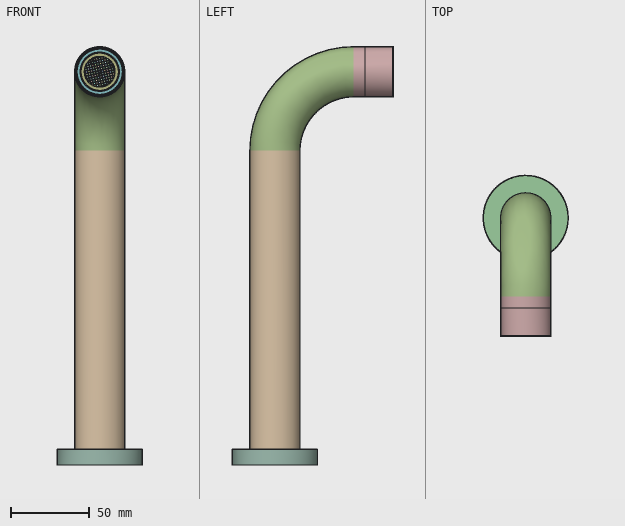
import cadquery as cq
import math

flange_diameter = 54.0
flange_thickness = 10.0
flange_chamfer = 0.3

aerator_diameter = 31.3
aerator_length = 18.0
aerator_chamfer = 0.5

total_height = 265.0
tube_wall = 0.32
bend_radius = 50.0
spout_end_length = 25.0
tube_radius = aerator_diameter / 2 + tube_wall
spout_axis_height = total_height - tube_radius
bend_start_height = spout_axis_height - bend_radius
spout_reach = bend_radius + spout_end_length

rim_groove = (29.7, 28.5)
face_groove = (25.0, 23.5)
grid_groove = (18.0, 16.5)
groove_depth = 1.0

grid_diameter = 19.5
grid_pitch = 1.65
grid_hole_size = 1.3
grid_hole_depth = 2.6
grid_angle = 13.0

mouth_plane = cq.Plane(origin=(0, -spout_reach, spout_axis_height), xDir=(1, 0, 0), normal=(0, -1, 0))


def mouth_cylinder(diameter, length):
    """Cylinder on the spout axis, running back into the spout from its mouth."""
    return cq.Workplane(mouth_plane).circle(diameter / 2).extrude(-length)


def make_flange():
    flange = cq.Workplane("XY").circle(flange_diameter / 2).extrude(flange_thickness)
    return flange.faces(">Z").edges().chamfer(flange_chamfer)


def make_tube():
    """Bent tube standing on the flange, with the aerator socket in its spout end."""
    bend_offset = bend_radius * math.sqrt(0.5)
    bend_middle = (bend_offset - bend_radius, bend_start_height + bend_offset)
    bend_end = (-bend_radius, spout_axis_height)
    path = (
        cq.Workplane("YZ")
        .moveTo(0, flange_thickness)
        .lineTo(0, bend_start_height)
        .threePointArc(bend_middle, bend_end)
        .lineTo(-spout_reach, spout_axis_height)
    )
    tube = cq.Workplane("XY", origin=(0, 0, flange_thickness)).circle(tube_radius).sweep(path)
    return tube.cut(mouth_cylinder(aerator_diameter, aerator_length))


def make_groove_cutter(outer_diameter, inner_diameter):
    outer = mouth_cylinder(outer_diameter, groove_depth)
    return outer.cut(mouth_cylinder(inner_diameter, groove_depth))


def make_grid_holes():
    """Square holes on a turned square lattice, trimmed to the round outline of the grid."""
    cells_each_way = math.ceil(grid_diameter / 2 / grid_pitch)
    cells_across = 2 * cells_each_way + 1
    squares = (
        cq.Workplane(mouth_plane.rotated((0, 0, grid_angle)))
        .rarray(grid_pitch, grid_pitch, cells_across, cells_across)
        .rect(grid_hole_size, grid_hole_size)
        .extrude(-grid_hole_depth)
    )
    return squares.intersect(mouth_cylinder(grid_diameter, grid_hole_depth))


def make_aerator():
    aerator = mouth_cylinder(aerator_diameter, aerator_length)
    aerator = aerator.faces("<Y").edges().chamfer(aerator_chamfer)
    for outer_diameter, inner_diameter in (rim_groove, face_groove, grid_groove):
        aerator = aerator.cut(make_groove_cutter(outer_diameter, inner_diameter))
    return aerator.cut(make_grid_holes())


flange = make_flange()
tube = make_tube()
aerator = make_aerator()

result = cq.Compound.makeCompound([flange.val(), tube.val(), aerator.val()])